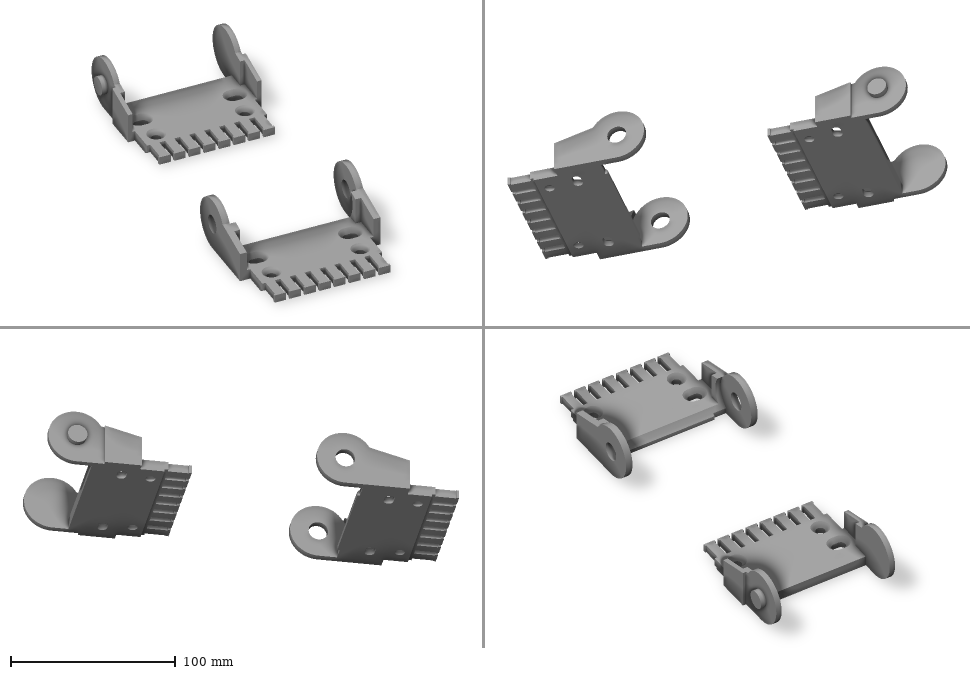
import cadquery as cq
import math


TOTAL_LENGTH = 254.5
BRACKET_LENGTH = 89.4
BORE_BRACKET_X = TOTAL_LENGTH - BRACKET_LENGTH

CHEEK_HEIGHT = 35.0
EYE_RADIUS = CHEEK_HEIGHT / 2
EYE_CENTRE = EYE_RADIUS
CHEEK_END_X = 57.3
CHEEK_END_HEIGHT = 19.9
CHEEK_TOP_SLOPE = 14.5
PIN_DIAMETER = 12.0

PLATE_THICKNESS = 7.0
PLATE_START_X = 27.5
PLATE_HALF_WIDTH = 40.2
PLATE_NECK_HALF_WIDTH = 38.7
RELIEF_START_X = 72.3
RELIEF_DEPTH = 1.5

TOOTH_COUNT = 8
COMB_SPAN = 70.0
TOOTH_PITCH = COMB_SPAN / (TOOTH_COUNT - 1)
TOOTH_HALF_WIDTH = 3.0
TOOTH_ROOT_X = 74.5
BARB_LENGTH = 1.8
BARB_HEIGHT = 0.8

HOLE_DIAMETER = 6.0
SINK_DIAMETER = 12.0
SINK_HALF_ANGLE = 45.0
SINK_DEPTH = (SINK_DIAMETER - HOLE_DIAMETER) / 2 / math.tan(math.radians(SINK_HALF_ANGLE))
ROUND_HOLE_X = 65.5
ROUND_HOLE_Y = 29.8
SLOT_X = 47.4
SLOT_Y = 31.5
SLOT_TRAVEL = 3.3
ALONG_Y = 90.0

PIN_EYE_OUTER_Y = 42.5
PIN_EYE_END_X = 39.5
PIN_TAB_START_X = 34.5
PIN_TAB_INNER_Y = 41.8
PIN_TAB_OUTER_Y = 44.8
PIN_END_Y = 46.3

BORE_CHEEK_INNER_Y = 42.5
BORE_CHEEK_OUTER_Y = 47.0
BORE_BLOCK_END_X = 39.5
CLEARANCE_RADIUS = 17.8
NOTCH_START_Y = 33.4
NOTCH_END_X = 29.0


def box(x0, x1, y0, y1, z0, z1):
    """Box between two opposite corners."""
    return cq.Workplane("XY").box(x1 - x0, y1 - y0, z1 - z0, centered=False).translate((x0, y0, z0))


def eye_cylinder(radius, y0, y1):
    """Cylinder on the eye axis between two Y positions."""
    plane = cq.Workplane("XZ", origin=(EYE_CENTRE, y0, EYE_CENTRE))
    return plane.circle(radius).extrude(y0 - y1)


def both_sides(shape):
    """The shape together with its mirror image across the XZ plane."""
    return shape.union(shape.mirror("XZ"))


def cheek(y0, y1):
    """Full cheek: round eye running into a tail with a sloping top edge."""
    rise = (CHEEK_END_X - EYE_CENTRE) * math.tan(math.radians(CHEEK_TOP_SLOPE))
    tail = (
        cq.Workplane("XZ", origin=(0, y0, 0))
        .moveTo(EYE_CENTRE, 0)
        .lineTo(CHEEK_END_X, 0)
        .lineTo(CHEEK_END_X, CHEEK_END_HEIGHT)
        .lineTo(EYE_CENTRE, CHEEK_END_HEIGHT + rise)
        .close()
        .extrude(y0 - y1)
    )
    return tail.union(eye_cylinder(EYE_RADIUS, y0, y1))


def cheek_slice(x0, x1, y0, y1):
    """Part of the cheek outline between two X positions."""
    return cheek(y0, y1).intersect(box(x0, x1, y0, y1, 0, CHEEK_HEIGHT))


def tooth(y):
    """One comb tooth with a barb on both sides of its tip."""
    barb_half_width = TOOTH_HALF_WIDTH + BARB_HEIGHT
    barb_x = BRACKET_LENGTH - BARB_LENGTH
    outline = [
        (TOOTH_ROOT_X, TOOTH_HALF_WIDTH),
        (barb_x, TOOTH_HALF_WIDTH),
        (barb_x, barb_half_width),
        (BRACKET_LENGTH, barb_half_width),
    ]
    mirrored = [(px, -py) for px, py in reversed(outline)]
    return (
        cq.Workplane("XY", origin=(0, y, RELIEF_DEPTH))
        .polyline(outline + mirrored)
        .close()
        .extrude(PLATE_THICKNESS - RELIEF_DEPTH)
    )


def countersunk_hole(x, y):
    """Cutter for a round countersunk hole through the plate."""
    hole = cq.Workplane("XY").circle(HOLE_DIAMETER / 2).extrude(PLATE_THICKNESS)
    sink = cq.Solid.makeCone(
        HOLE_DIAMETER / 2, SINK_DIAMETER / 2, SINK_DEPTH, cq.Vector(0, 0, PLATE_THICKNESS - SINK_DEPTH)
    )
    return hole.union(cq.Workplane(sink)).translate((x, y, 0))


def countersunk_slot(x, y):
    """Cutter for a countersunk slot through the plate, long side along Y."""
    full_length = HOLE_DIAMETER + SLOT_TRAVEL
    hole = cq.Workplane("XY").slot2D(full_length, HOLE_DIAMETER, ALONG_Y).extrude(PLATE_THICKNESS)
    sink = (
        cq.Workplane("XY", origin=(0, 0, PLATE_THICKNESS))
        .slot2D(SINK_DIAMETER + SLOT_TRAVEL, SINK_DIAMETER, ALONG_Y)
        .extrude(-SINK_DEPTH, taper=SINK_HALF_ANGLE)
    )
    return hole.union(sink).translate((x, y, 0))


def base_plate(wide_start_x, wide_half_width):
    """Plate with comb and holes; it widens between the cheek tails to meet them."""
    neck = PLATE_NECK_HALF_WIDTH
    plate = box(PLATE_START_X, TOOTH_ROOT_X, -neck, neck, 0, PLATE_THICKNESS)
    middle = box(wide_start_x, CHEEK_END_X, -wide_half_width, wide_half_width, 0, PLATE_THICKNESS)
    rear = box(CHEEK_END_X, TOOTH_ROOT_X, -PLATE_HALF_WIDTH, PLATE_HALF_WIDTH, 0, PLATE_THICKNESS)
    relief = box(RELIEF_START_X, TOOTH_ROOT_X, -PLATE_HALF_WIDTH, PLATE_HALF_WIDTH, 0, RELIEF_DEPTH)
    plate = plate.union(middle).union(rear).cut(relief)
    for index in range(TOOTH_COUNT):
        plate = plate.union(tooth(index * TOOTH_PITCH - COMB_SPAN / 2))
    for side in (-1, 1):
        plate = plate.cut(countersunk_hole(ROUND_HOLE_X, side * ROUND_HOLE_Y))
        plate = plate.cut(countersunk_slot(SLOT_X, side * SLOT_Y))
    return plate


def pin_bracket():
    """Bracket whose eyes carry outward pins; the cheek tails are stepped outward."""
    eye = cheek_slice(0, PIN_EYE_END_X, PLATE_NECK_HALF_WIDTH, PIN_EYE_OUTER_Y)
    tab = cheek_slice(PIN_TAB_START_X, CHEEK_END_X, PIN_TAB_INNER_Y, PIN_TAB_OUTER_Y)
    pin = eye_cylinder(PIN_DIAMETER / 2, PIN_EYE_OUTER_Y, PIN_END_Y)
    side = eye.union(tab).union(pin)
    return base_plate(PIN_EYE_END_X, PIN_TAB_INNER_Y).union(both_sides(side))


def bore_bracket():
    """Bracket with bored flat cheeks and clearance for the mating eyes inside them."""
    bore = eye_cylinder(PIN_DIAMETER / 2, BORE_CHEEK_INNER_Y, BORE_CHEEK_OUTER_Y)
    outer = cheek(BORE_CHEEK_INNER_Y, BORE_CHEEK_OUTER_Y).cut(bore)
    block = cheek_slice(PLATE_START_X, BORE_BLOCK_END_X, PLATE_NECK_HALF_WIDTH, BORE_CHEEK_INNER_Y)
    clearance = eye_cylinder(CLEARANCE_RADIUS, -BORE_CHEEK_INNER_Y, BORE_CHEEK_INNER_Y)
    notch = box(PLATE_START_X, NOTCH_END_X, NOTCH_START_Y, BORE_CHEEK_INNER_Y, 0, PLATE_THICKNESS)
    inner = base_plate(BORE_BLOCK_END_X, BORE_CHEEK_INNER_Y).union(both_sides(block))
    inner = inner.cut(clearance).cut(both_sides(notch))
    return inner.union(both_sides(outer)).translate((BORE_BRACKET_X, 0, 0))


pin_end = pin_bracket()
bore_end = bore_bracket()
result = cq.Compound.makeCompound([pin_end.solids().val(), bore_end.solids().val()])